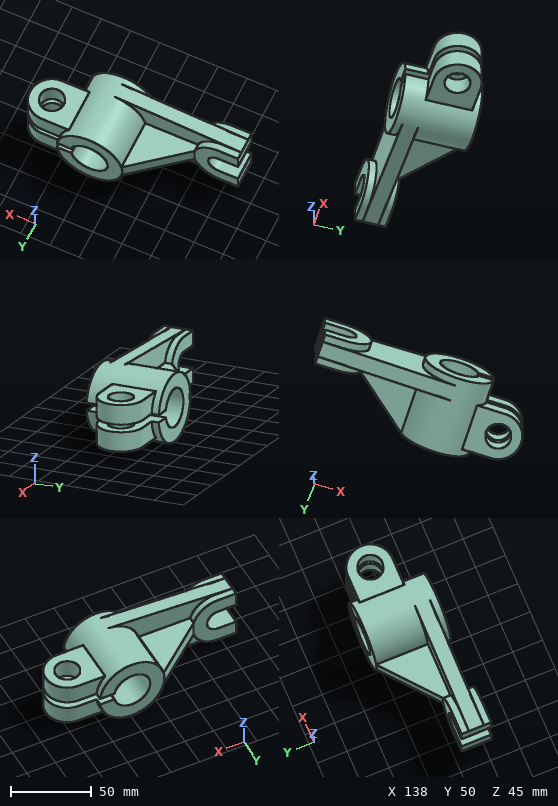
import cadquery as cq
import math

overall_length = 138.0

hub_length = 50.0
hub_radius = 22.5
bore_radius = 12.5

fork_distance = 75.0
fork_radius = 17.5
fork_overhang = 13.0
fork_depth = 20.0
fork_slot_radius = 7.5
fork_end_x = -fork_distance - fork_overhang

arm_start_y = 5.0
arm_thickness = 10.1

rib_thickness = 10.1

lug_radius = 15.0
lug_hole_radius = 8.0
lug_thickness = 13.0
clamp_gap = 5.0
clamp_height = 2 * lug_thickness + clamp_gap
lug_end_x = overall_length + fork_end_x
lug_center_x = lug_end_x - lug_radius
lug_center_y = 30.0


def xz_plane(start_y):
    """Workplane at y = start_y; its normal is -Y, so negative extrusions go toward +Y."""
    return cq.Workplane("XZ", origin=(0, start_y, 0))


def hub_cylinder(radius):
    return xz_plane(0).circle(radius).extrude(-hub_length)


def fork_profile(half_width):
    """Straight-sided profile, open toward the fork end and rounded about the fork centre."""
    return (
        xz_plane(0)
        .moveTo(fork_end_x, half_width)
        .lineTo(-fork_distance, half_width)
        .threePointArc((-fork_distance + half_width, 0), (-fork_distance, -half_width))
        .lineTo(fork_end_x, -half_width)
        .close()
        .extrude(-fork_depth)
    )


def make_arm():
    """Plate whose edges run from the fork corners to tangency with the hub."""
    corner_angle = math.atan2(fork_radius, fork_end_x)
    corner_distance = math.hypot(fork_end_x, fork_radius)
    tangent_angle = corner_angle - math.acos(hub_radius / corner_distance)
    tangent_x = hub_radius * math.cos(tangent_angle)
    tangent_z = hub_radius * math.sin(tangent_angle)
    return (
        xz_plane(arm_start_y)
        .moveTo(fork_end_x, -fork_radius)
        .lineTo(fork_end_x, fork_radius)
        .lineTo(tangent_x, tangent_z)
        .lineTo(tangent_x, -tangent_z)
        .close()
        .extrude(-arm_thickness)
    )


def make_rib():
    """Web from the back edge of the fork boss up to the back edge of the hub."""
    half_thickness = rib_thickness / 2
    fork_side_x = -fork_distance + math.sqrt(fork_radius**2 - half_thickness**2)
    hub_side_x = -math.sqrt(hub_radius**2 - half_thickness**2)
    return (
        cq.Workplane("XY")
        .moveTo(fork_side_x, arm_start_y)
        .lineTo(fork_side_x, fork_depth)
        .lineTo(hub_side_x, hub_length)
        .lineTo(-bore_radius, hub_length)
        .lineTo(-bore_radius, arm_start_y)
        .close()
        .extrude(half_thickness, both=True)
    )


def make_clamp():
    block = (
        cq.Workplane("XY")
        .center(lug_center_x / 2, lug_center_y)
        .rect(lug_center_x, 2 * lug_radius)
        .extrude(clamp_height / 2, both=True)
    )
    rounded_end = (
        cq.Workplane("XY")
        .center(lug_center_x, lug_center_y)
        .circle(lug_radius)
        .extrude(clamp_height / 2, both=True)
    )
    return block.union(rounded_end)


def make_clamp_hole():
    return (
        cq.Workplane("XY")
        .center(lug_center_x, lug_center_y)
        .circle(lug_hole_radius)
        .extrude(clamp_height, both=True)
    )


def make_clamp_split():
    return cq.Workplane("XY").box(lug_end_x, hub_length, clamp_gap, centered=(False, False, True))


solid_parts = (fork_profile(fork_radius), make_arm(), make_rib(), make_clamp())
openings = (
    hub_cylinder(bore_radius),
    fork_profile(fork_slot_radius),
    make_clamp_hole(),
    make_clamp_split(),
)

result = hub_cylinder(hub_radius)
for added in solid_parts:
    result = result.union(added)
for removed in openings:
    result = result.cut(removed)